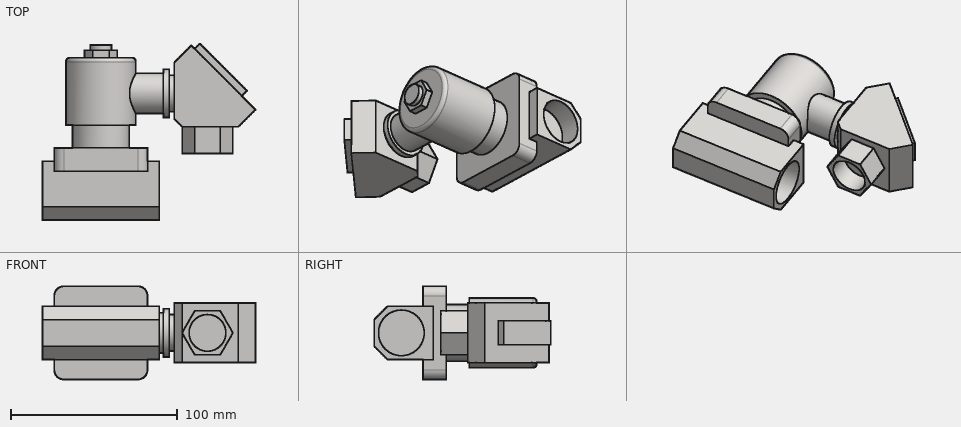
import cadquery as cq
import math

block_length = 70.0
block_depth = 35.4
block_width = 32.0
block_chamfer = 8.0
port_diameter = 27.4
port_depth = 13.5
port_axis_y = 16.3

flange_size = 56.0
flange_thickness = 14.0
flange_bottom_y = 29.25
flange_top_y = flange_bottom_y + flange_thickness
flange_corner_radius = 5.9

coil_diameter = 42.0
coil_bottom_y = 56.9
coil_height = 40.5
coil_top_y = coil_bottom_y + coil_height
coil_edge_radius = 2.4
neck_diameter = 34.2

nut_corner_diameter = 19.8
nut_height = 4.5
stud_diameter = 12.9
stud_height = 3.1

arm_axis_y = 75.95
arm_diameter = 24.2
collar_diameter = 29.0
collar_start_x = 37.5
collar_end_x = 41.1
spigot_diameter = 22.0

face_to_axis = 20.0
connector_left_x = 43.86
connector_bottom_y = arm_axis_y - face_to_axis
connector_width = 35.8
corner_chamfer = 4.8
side_length = 38.5
diagonal_sum = 59.1

lid_length = 40.0
lid_width = 14.4
lid_thickness = 4.4
lid_shift = 4.35

gland_corner_diameter = 30.5
gland_length = 16.0
gland_axis_x = connector_left_x + face_to_axis
gland_bore_diameter = 22.0
gland_bore_depth = 13.0


def y_plane(x, y):
    """Work plane at (x, y, 0) facing +Y, with its own x along +X."""
    return cq.Workplane(cq.Plane(origin=(x, y, 0), xDir=(1, 0, 0), normal=(0, 1, 0)))


def x_rod(start_x, length, diameter, axis_y):
    """Cylinder parallel to X."""
    plane = cq.Plane(origin=(start_x, axis_y, 0), xDir=(0, 0, 1), normal=(1, 0, 0))
    return cq.Workplane(plane).circle(diameter / 2).extrude(length)


def y_rod(start_y, length, diameter, axis_x=0):
    """Cylinder parallel to Y."""
    plane = cq.Plane(origin=(axis_x, start_y, 0), xDir=(0, 0, 1), normal=(0, 1, 0))
    return cq.Workplane(plane).circle(diameter / 2).extrude(length)


def make_valve_body():
    block = (
        cq.Workplane("XY")
        .box(block_length, block_depth, block_width, centered=(True, False, True))
        .faces("<Y")
        .edges("|X")
        .chamfer(block_chamfer)
    )
    flange = (
        y_plane(0, flange_bottom_y)
        .rect(flange_size, flange_size)
        .extrude(flange_thickness)
        .edges("|Y")
        .fillet(flange_corner_radius)
    )
    neck = y_rod(flange_top_y, coil_bottom_y - flange_top_y, neck_diameter)
    body = block.union(flange).union(neck)
    block_end = block_length / 2
    for start_x in (-block_end, block_end - port_depth):
        body = body.cut(x_rod(start_x, port_depth, port_diameter, port_axis_y))
    return body


def make_coil():
    shell = (
        y_rod(coil_bottom_y, coil_height, coil_diameter)
        .faces(">Y")
        .edges()
        .fillet(coil_edge_radius)
    )
    nut = y_plane(0, coil_top_y).polygon(6, nut_corner_diameter).extrude(nut_height)
    stud = y_rod(coil_top_y + nut_height, stud_height, stud_diameter)
    arm = x_rod(0, collar_start_x, arm_diameter, arm_axis_y)
    collar = x_rod(collar_start_x, collar_end_x - collar_start_x, collar_diameter, arm_axis_y)
    spigot = x_rod(collar_end_x, connector_left_x - collar_end_x, spigot_diameter, arm_axis_y)
    coil = shell
    for piece in (nut, stud, arm, collar, spigot):
        coil = coil.union(piece)
    return coil


def make_connector():
    slope_near = (diagonal_sum - side_length) / 2
    slope_far = (diagonal_sum + side_length) / 2
    outline = [
        (corner_chamfer, 0),
        (side_length, 0),
        (slope_far, slope_near),
        (slope_near, slope_far),
        (0, side_length),
        (0, corner_chamfer),
    ]
    housing = (
        cq.Workplane("XY", origin=(connector_left_x, connector_bottom_y, 0))
        .polyline(outline)
        .close()
        .extrude(connector_width / 2, both=True)
    )

    slope_shift = lid_shift / math.sqrt(2)
    lid_plane = cq.Plane(
        origin=(
            connector_left_x + diagonal_sum / 2 - slope_shift,
            connector_bottom_y + diagonal_sum / 2 + slope_shift,
            0,
        ),
        xDir=(1, -1, 0),
        normal=(1, 1, 0),
    )
    lid = cq.Workplane(lid_plane).rect(lid_length, lid_width).extrude(lid_thickness)

    gland_end_y = connector_bottom_y - gland_length
    gland = y_plane(gland_axis_x, gland_end_y).polygon(6, gland_corner_diameter).extrude(gland_length)
    bore = y_rod(gland_end_y, gland_bore_depth, gland_bore_diameter, gland_axis_x)
    return housing.union(lid).union(gland).cut(bore)


valve_body = make_valve_body()
coil = make_coil()
connector = make_connector()
result = cq.Compound.makeCompound([valve_body.val(), coil.val(), connector.val()])